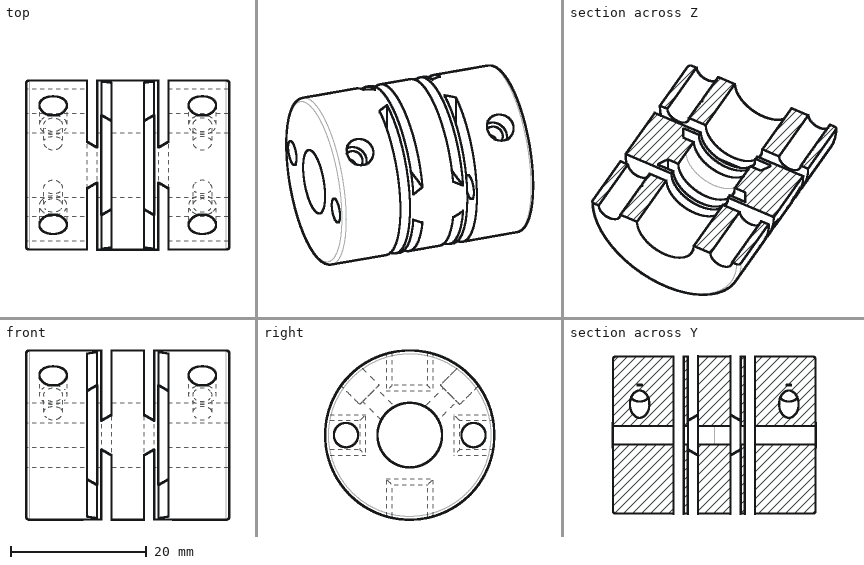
import cadquery as cq

length = 30.0
outer_radius = 12.5
bore_diameter = 9.5
end_round = 0.5

slot_width = 1.5
disc_thickness = 0.6
slot_overrun = 1.0
ring_width = 4.8

bridge_taper = 30.0
bridge_inner_height = 6.5
hub_bridge_half_width = 3.45
ring_bridge_half_width = 3.0
bridge_overlap = 3.0

screw_hole_offset = 11.0
screw_hole_angle = 45.0
screw_hole_diameter = 4.05
screw_seat_radius = 8.4
screw_core_diameter = 2.8

axial_hole_diameter = 3.6
axial_hole_radius = 9.4

half_length = length / 2
ring_face = ring_width / 2
disc_inner_face = ring_face + slot_width
disc_outer_face = disc_inner_face + disc_thickness
hub_face = disc_outer_face + slot_width
hub_length = half_length - hub_face


def make_body():
    """Solid cylinder with rounded end rims and a central bore."""
    body = cq.Workplane("YZ").circle(outer_radius).extrude(half_length, both=True)
    body = body.edges("%CIRCLE").fillet(end_round)
    bore = cq.Workplane("YZ").circle(bore_diameter / 2).extrude(half_length, both=True)
    return body.cut(bore)


def make_bridge(wide_face, direction, half_width):
    """Bridge on the +Z side, shrinking from its wide face towards the thin disc."""
    bridge_top = outer_radius + bridge_overlap
    bridge_height = bridge_top - bridge_inner_height
    plane = cq.Plane(origin=(wide_face, 0, 0), xDir=(0, 1, 0), normal=(direction, 0, 0))
    middle_height = bridge_inner_height + bridge_height / 2
    return (
        cq.Workplane(plane)
        .center(0, direction * middle_height)
        .rect(2 * half_width, bridge_height)
        .extrude(slot_width, taper=bridge_taper)
    )


def make_slot(start, wide_face, direction, half_width):
    """Full-diameter slot cutter at +X, with two opposite bridges on the Z axis left out."""
    slot = (
        cq.Workplane("YZ", origin=(start, 0, 0))
        .circle(outer_radius + slot_overrun)
        .extrude(slot_width)
    )
    bridge = make_bridge(wide_face, direction, half_width)
    opposite_bridge = bridge.rotate((0, 0, 0), (1, 0, 0), 180)
    return slot.cut(bridge).cut(opposite_bridge)


def make_slots():
    """Both slots of the +X half; the ring slot is turned a quarter turn from the hub slot."""
    hub_slot = make_slot(disc_outer_face, hub_face, -1, hub_bridge_half_width)
    ring_slot = make_slot(ring_face, ring_face, 1, ring_bridge_half_width)
    return hub_slot.union(ring_slot.rotate((0, 0, 0), (1, 0, 0), 90))


def make_screw_hole(angle):
    """Stepped radial hole of the +X hub, tilted from +Z about the X axis."""
    axis = cq.Workplane("XY", origin=(screw_hole_offset, 0, 0))
    core = axis.circle(screw_core_diameter / 2).extrude(outer_radius)
    head = (
        axis.workplane(offset=screw_seat_radius)
        .circle(screw_hole_diameter / 2)
        .extrude(outer_radius - screw_seat_radius)
    )
    return core.union(head).rotate((0, 0, 0), (1, 0, 0), angle)


def make_axial_holes():
    """Pair of axial holes running through the +X hub into the hub slot."""
    return (
        cq.Workplane("YZ", origin=(hub_face, 0, 0))
        .pushPoints([(-axial_hole_radius, 0), (axial_hole_radius, 0)])
        .circle(axial_hole_diameter / 2)
        .extrude(hub_length)
    )


def make_half_cutter():
    """Everything removed from the +X half of the body."""
    cutter = make_slots().union(make_axial_holes())
    for angle in (-screw_hole_angle, screw_hole_angle):
        cutter = cutter.union(make_screw_hole(angle))
    return cutter


half_cutter = make_half_cutter()
result = make_body().cut(half_cutter).cut(half_cutter.mirror("YZ"))